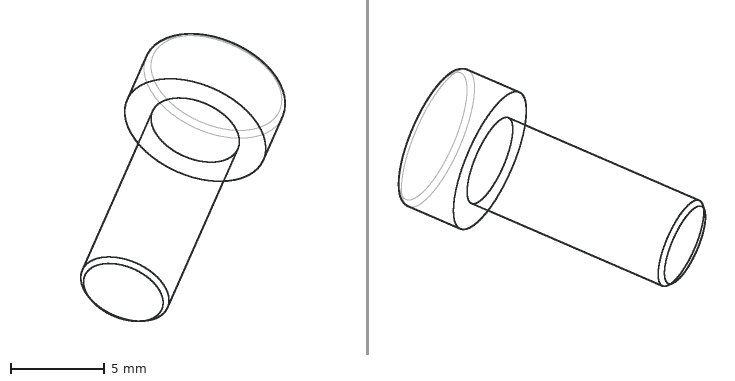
import cadquery as cq

total_length = 15.5
head_length = 3.5
head_diameter = 8.0
shank_diameter = 5.0
head_edge_radius = 0.3
tip_chamfer = 0.25

shank_length = total_length - head_length


def make_head():
    """Head standing on the bearing face at Y = 0, with a rounded outer rim."""
    head = cq.Workplane("XZ").circle(head_diameter / 2).extrude(-head_length)
    return head.faces(">Y").edges().fillet(head_edge_radius)


def make_shank():
    """Plain shank running from the bearing face to a chamfered tip."""
    shank = cq.Workplane("XZ").circle(shank_diameter / 2).extrude(shank_length)
    return shank.faces("<Y").edges().chamfer(tip_chamfer)


result = make_head().union(make_shank())